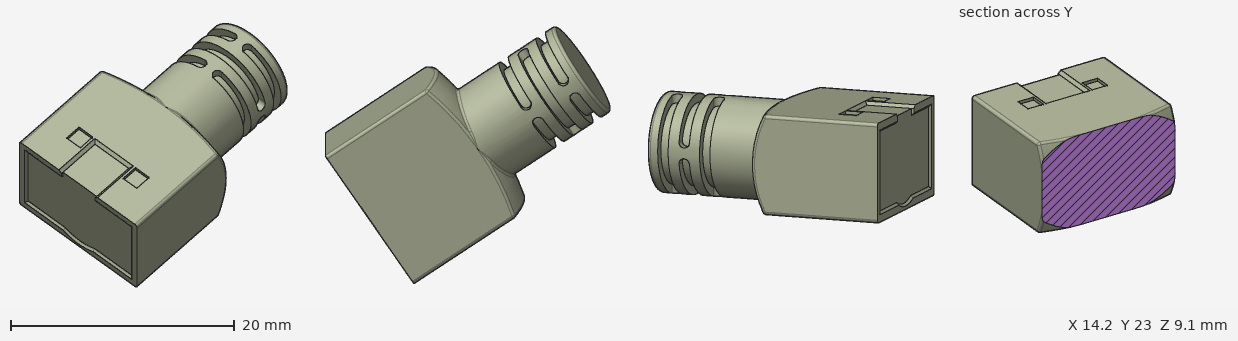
import cadquery as cq
import math

body_width = 14.2
body_height = 9.1
body_edge_radius = 0.3
half_width = body_width / 2
half_height = body_height / 2

shoulder_apex_y = 12.88
shoulder_radius = 10.5
shoulder_edge_drop = 0.89
shoulder_edge_radius = 0.3
shoulder_axis_y = shoulder_apex_y - shoulder_radius

total_length = 23.0
sleeve_radius = half_height
sleeve_core_radius = 3.75
sleeve_end_radius = 0.3
root_fillet_radius = 0.25

slot_width = 1.0
slot_pitch = 2.0
slot_count = 3
first_slot_y = 17.5
slot_gap = 1.0

rim_width = 0.65
rim_height = 0.7
cavity_depth = 0.22
cable_relief_radius = 4.25

recess_width = 4.66
recess_length = 4.78
recess_depth = 0.3

pocket_size = 1.65
pocket_offset_x = 3.4
pocket_depth = 0.3


def box(x_range, y_range, z_range):
    """Box spanning the given (low, high) ranges."""
    sizes = [high - low for low, high in (x_range, y_range, z_range)]
    corner = (x_range[0], y_range[0], z_range[0])
    return cq.Workplane("XY").box(*sizes, centered=False).translate(corner)


def make_housing():
    """Rounded block closed at the back by the barrel-shaped shoulder."""
    block = (
        cq.Workplane("XZ")
        .rect(body_width, body_height)
        .extrude(-shoulder_apex_y)
        .edges("|Y")
        .fillet(body_edge_radius)
    )
    edge_y = shoulder_apex_y - shoulder_edge_drop
    envelope = (
        cq.Workplane("XY")
        .moveTo(-half_width, shoulder_axis_y)
        .lineTo(-half_width, edge_y)
        .threePointArc((0, shoulder_apex_y), (half_width, edge_y))
        .lineTo(half_width, shoulder_axis_y)
        .close()
        .revolve(360, (0, shoulder_axis_y), (1, shoulder_axis_y))
    )
    front_half = box(
        (-half_width, half_width), (0, shoulder_axis_y), (-half_height, half_height)
    )
    housing = block.intersect(envelope.union(front_half))
    return housing.faces(">Y").edges().fillet(shoulder_edge_radius)


def make_sleeve():
    """Round sleeve that starts inside the housing and ends in a rounded rim."""
    return (
        cq.Workplane("XZ", origin=(0, shoulder_axis_y, 0))
        .circle(sleeve_radius)
        .extrude(shoulder_axis_y - total_length)
        .faces(">Y")
        .edges()
        .fillet(sleeve_end_radius)
    )


def is_root_edge(edge):
    """True for an edge that runs around the sleeve surface where it meets the shoulder."""
    tolerance = 0.002
    sample_positions = (0, 0.2, 0.5, 0.8, 1)
    samples = [edge.positionAt(position) for position in sample_positions]
    on_sleeve = all(
        abs(math.hypot(point.x, point.z) - sleeve_radius) < tolerance for point in samples
    )
    is_seam = edge.geomType() == "LINE"
    at_shoulder = edge.Center().y < shoulder_apex_y
    return on_sleeve and at_shoulder and not is_seam


def fillet_sleeve_root(part):
    """Round the inner corner between the sleeve and the shoulder."""
    root_edges = [edge for edge in part.edges().vals() if is_root_edge(edge)]
    return part.newObject(root_edges).fillet(root_fillet_radius)


def make_slot_pair(y):
    """Two facing round-ended slots cut inwards from +X and -X down to the sleeve core."""
    slot_length = 2 * sleeve_radius
    centre_x = (slot_gap + slot_length) / 2
    slots = (
        cq.Workplane("XY", origin=(0, y, 0))
        .pushPoints([(-centre_x, 0), (centre_x, 0)])
        .slot2D(slot_length, slot_width)
        .extrude(sleeve_radius, both=True)
    )
    core = (
        cq.Workplane("XZ", origin=(0, y - slot_width, 0))
        .circle(sleeve_core_radius)
        .extrude(-2 * slot_width)
    )
    return slots.cut(core)


def cut_slots(part):
    """Cut the slot pairs, each a quarter turn from the one before."""
    for index in range(slot_count):
        slots = make_slot_pair(first_slot_y + index * slot_pitch)
        part = part.cut(slots.rotate((0, 0, 0), (0, 1, 0), 90 * (index % 2)))
    return part


def make_cavity():
    """Tapered rectangle joined with a tapered disc that bulges through its long sides."""
    rectangle = (
        cq.Workplane("XZ")
        .rect(body_width - 2 * rim_width, body_height - 2 * rim_height)
        .extrude(-cavity_depth, taper=45)
    )
    disc = cq.Workplane("XZ").circle(cable_relief_radius).extrude(-cavity_depth, taper=45)
    return rectangle.union(disc)


def make_latch_recess():
    """Recess with sloped walls, plus the gap it leaves in the cavity rim."""
    pocket = (
        cq.Workplane("XY", origin=(0, 0, half_height))
        .rect(recess_width, 2 * recess_length)
        .extrude(-recess_depth, taper=45)
    )
    half_floor = recess_width / 2 - recess_depth
    gap = box((-half_floor, half_floor), (0, cavity_depth), (0, half_height))
    return pocket.union(gap)


def make_pockets():
    """Square pockets in the top face, level with the back of the latch recess."""
    centre_y = recess_length - pocket_size / 2
    return (
        cq.Workplane("XY", origin=(0, centre_y, half_height))
        .pushPoints([(-pocket_offset_x, 0), (pocket_offset_x, 0)])
        .rect(pocket_size, pocket_size)
        .extrude(-pocket_depth)
    )


part = make_housing().union(make_sleeve())
part = fillet_sleeve_root(part)
part = cut_slots(part)
part = part.cut(make_cavity())
part = part.cut(make_latch_recess())
result = part.cut(make_pockets())